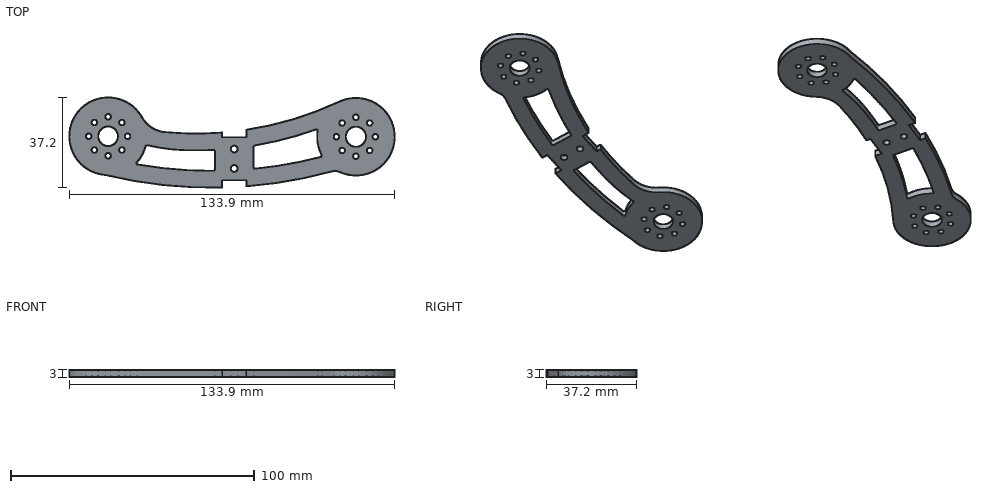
import cadquery as cq
import math

THICKNESS = 3.0
OVERALL_LENGTH = 133.87
HUB_RADIUS = 16.0
HUB_DROP = 0.2
LEFT_HUB = (0.0, 0.0)
RIGHT_HUB = (OVERALL_LENGTH - 2 * HUB_RADIUS, -HUB_DROP)

LEFT_BORE_DIAMETER = 8.0
RIGHT_BORE_DIAMETER = 8.2
SCREW_DIAMETER = 2.2
SCREW_COUNT = 8
SCREW_CIRCLE_DIAMETER = 16.0

LOWER_RADIUS = 186.0
LOWER_CENTER_X = 42.6
LOWER_DEPTH = 21.18
UPPER_RADIUS = 138.5
UPPER_CENTER_X = 36.2
LEFT_BLEND_RADIUS = 12.0
RIGHT_BLEND_RADIUS = 5.0

WAIST_CENTER = (51.85, -9.25)
WAIST_LENGTH = 10.0
WAIST_WIDTH = 17.8
WAIST_HOLE_DIAMETER = 2.7
WAIST_HOLE_SPACING = 8.0

RAIL_WIDTH = 7.0
WINDOW_SPACING = 16.0
WINDOW_HUB_RADIUS = 16.0
WINDOW_CORNER_RADIUS = 0.5
WINDOW_BLEND_RADIUS = 75.0
WINDOW_BLEND_X = 31.0

LOWER_CENTER = (LOWER_CENTER_X, LOWER_RADIUS - LOWER_DEPTH)
UPPER_CENTER = (
    UPPER_CENTER_X,
    RIGHT_HUB[1] + math.sqrt((UPPER_RADIUS + HUB_RADIUS) ** 2 - (RIGHT_HUB[0] - UPPER_CENTER_X) ** 2),
)


def toward(start, target, distance):
    """Point at a distance from start in the direction of target."""
    scale = distance / math.dist(start, target)
    return (
        start[0] + scale * (target[0] - start[0]),
        start[1] + scale * (target[1] - start[1]),
    )


def circle_crossing(center_a, radius_a, center_b, radius_b, side):
    """Crossing of two circles, left (+1) or right (-1) of the line from a to b."""
    gap = math.dist(center_a, center_b)
    along = (radius_a**2 - radius_b**2 + gap**2) / (2 * gap)
    across = side * math.sqrt(radius_a**2 - along**2)
    ux = (center_b[0] - center_a[0]) / gap
    uy = (center_b[1] - center_a[1]) / gap
    return (
        center_a[0] + along * ux - across * uy,
        center_a[1] + along * uy + across * ux,
    )


def low_point(center, radius, x):
    """Point at x on the lower half of a circle."""
    return (x, center[1] - math.sqrt(radius**2 - (x - center[0]) ** 2))


def arc_to(sketch, start, end, center):
    """Add the shorter arc about center from start to end."""
    chord_middle = ((start[0] + end[0]) / 2, (start[1] + end[1]) / 2)
    middle = toward(center, chord_middle, math.dist(center, start))
    return sketch.threePointArc(middle, end)


LEFT_BLEND_CENTER = circle_crossing(
    LEFT_HUB, HUB_RADIUS + LEFT_BLEND_RADIUS, UPPER_CENTER, UPPER_RADIUS - LEFT_BLEND_RADIUS, -1
)
RIGHT_BLEND_CENTER = circle_crossing(
    RIGHT_HUB, HUB_RADIUS + RIGHT_BLEND_RADIUS, LOWER_CENTER, LOWER_RADIUS + RIGHT_BLEND_RADIUS, 1
)


def make_plate():
    waist_left = WAIST_CENTER[0] - WAIST_LENGTH / 2
    waist_right = WAIST_CENTER[0] + WAIST_LENGTH / 2
    waist_bottom = WAIST_CENTER[1] - WAIST_WIDTH / 2
    waist_top = WAIST_CENTER[1] + WAIST_WIDTH / 2

    lower_start = circle_crossing(LEFT_HUB, HUB_RADIUS, LOWER_CENTER, LOWER_RADIUS, -1)
    lower_left = low_point(LOWER_CENTER, LOWER_RADIUS, waist_left)
    lower_right = low_point(LOWER_CENTER, LOWER_RADIUS, waist_right)
    lower_end = toward(LOWER_CENTER, RIGHT_BLEND_CENTER, LOWER_RADIUS)
    right_hub_start = toward(RIGHT_HUB, RIGHT_BLEND_CENTER, HUB_RADIUS)
    right_hub_tip = (RIGHT_HUB[0] + HUB_RADIUS, RIGHT_HUB[1])
    upper_start = toward(RIGHT_HUB, UPPER_CENTER, HUB_RADIUS)
    upper_right = low_point(UPPER_CENTER, UPPER_RADIUS, waist_right)
    upper_left = low_point(UPPER_CENTER, UPPER_RADIUS, waist_left)
    upper_end = toward(UPPER_CENTER, LEFT_BLEND_CENTER, UPPER_RADIUS)
    left_hub_start = toward(LEFT_HUB, LEFT_BLEND_CENTER, HUB_RADIUS)
    left_hub_tip = (LEFT_HUB[0] - HUB_RADIUS, LEFT_HUB[1])

    outline = cq.Workplane("XY").moveTo(*lower_start)
    outline = arc_to(outline, lower_start, lower_left, LOWER_CENTER)
    outline = outline.lineTo(waist_left, waist_bottom).lineTo(waist_right, waist_bottom)
    outline = outline.lineTo(*lower_right)
    outline = arc_to(outline, lower_right, lower_end, LOWER_CENTER)
    outline = arc_to(outline, lower_end, right_hub_start, RIGHT_BLEND_CENTER)
    outline = outline.threePointArc(right_hub_tip, upper_start)
    outline = arc_to(outline, upper_start, upper_right, UPPER_CENTER)
    outline = outline.lineTo(waist_right, waist_top).lineTo(waist_left, waist_top)
    outline = outline.lineTo(*upper_left)
    outline = arc_to(outline, upper_left, upper_end, UPPER_CENTER)
    outline = arc_to(outline, upper_end, left_hub_start, LEFT_BLEND_CENTER)
    outline = outline.threePointArc(left_hub_tip, lower_start)
    return outline.close().extrude(THICKNESS)


WINDOW_LOWER_RADIUS = LOWER_RADIUS - RAIL_WIDTH
WINDOW_UPPER_RADIUS = UPPER_RADIUS + RAIL_WIDTH


def left_window():
    inner_x = WAIST_CENTER[0] - WINDOW_SPACING / 2
    bottom_inner = low_point(LOWER_CENTER, WINDOW_LOWER_RADIUS, inner_x)
    top_inner = low_point(UPPER_CENTER, WINDOW_UPPER_RADIUS, inner_x)
    blend_start = low_point(UPPER_CENTER, WINDOW_UPPER_RADIUS, WINDOW_BLEND_X)
    blend_center = toward(blend_start, UPPER_CENTER, WINDOW_BLEND_RADIUS)
    top_outer = circle_crossing(LEFT_HUB, WINDOW_HUB_RADIUS, blend_center, WINDOW_BLEND_RADIUS, -1)
    bottom_outer = circle_crossing(LEFT_HUB, WINDOW_HUB_RADIUS, LOWER_CENTER, WINDOW_LOWER_RADIUS, -1)

    outline = cq.Workplane("XY").moveTo(*bottom_inner).lineTo(*top_inner)
    outline = arc_to(outline, top_inner, blend_start, UPPER_CENTER)
    outline = arc_to(outline, blend_start, top_outer, blend_center)
    outline = arc_to(outline, top_outer, bottom_outer, LEFT_HUB)
    outline = arc_to(outline, bottom_outer, bottom_inner, LOWER_CENTER)
    sharp_points = (bottom_inner, top_inner, top_outer, bottom_outer)
    return round_corners(outline.close().extrude(THICKNESS), sharp_points)


def right_window():
    inner_x = WAIST_CENTER[0] + WINDOW_SPACING / 2
    bottom_inner = low_point(LOWER_CENTER, WINDOW_LOWER_RADIUS, inner_x)
    top_inner = low_point(UPPER_CENTER, WINDOW_UPPER_RADIUS, inner_x)
    top_outer = circle_crossing(RIGHT_HUB, WINDOW_HUB_RADIUS, UPPER_CENTER, WINDOW_UPPER_RADIUS, 1)
    bottom_outer = circle_crossing(RIGHT_HUB, WINDOW_HUB_RADIUS, LOWER_CENTER, WINDOW_LOWER_RADIUS, 1)

    outline = cq.Workplane("XY").moveTo(*bottom_inner).lineTo(*top_inner)
    outline = arc_to(outline, top_inner, top_outer, UPPER_CENTER)
    outline = arc_to(outline, top_outer, bottom_outer, RIGHT_HUB)
    outline = arc_to(outline, bottom_outer, bottom_inner, LOWER_CENTER)
    sharp_points = (bottom_inner, top_inner, top_outer, bottom_outer)
    return round_corners(outline.close().extrude(THICKNESS), sharp_points)


def round_corners(window, corner_points):
    """Round the upright window edges that stand on the given points."""
    for x, y in corner_points:
        corner = cq.selectors.NearestToPointSelector((x, y, THICKNESS / 2))
        window = window.edges("|Z").edges(corner).fillet(WINDOW_CORNER_RADIUS)
    return window


def drill(plate, points, diameter):
    holes = cq.Workplane("XY").pushPoints(points).circle(diameter / 2).extrude(THICKNESS)
    return plate.cut(holes)


def drill_hub(plate, center, bore_diameter):
    plate = drill(plate, [center], bore_diameter)
    screws = []
    for index in range(SCREW_COUNT):
        angle = 2 * math.pi * index / SCREW_COUNT
        x = center[0] + SCREW_CIRCLE_DIAMETER / 2 * math.cos(angle)
        y = center[1] + SCREW_CIRCLE_DIAMETER / 2 * math.sin(angle)
        screws.append((x, y))
    return drill(plate, screws, SCREW_DIAMETER)


def drill_waist(plate):
    offset = WAIST_HOLE_SPACING / 2
    points = [(WAIST_CENTER[0], WAIST_CENTER[1] + side * offset) for side in (-1, 1)]
    return drill(plate, points, WAIST_HOLE_DIAMETER)


plate = make_plate().cut(left_window()).cut(right_window())
plate = drill_hub(plate, LEFT_HUB, LEFT_BORE_DIAMETER)
plate = drill_hub(plate, RIGHT_HUB, RIGHT_BORE_DIAMETER)
result = drill_waist(plate)